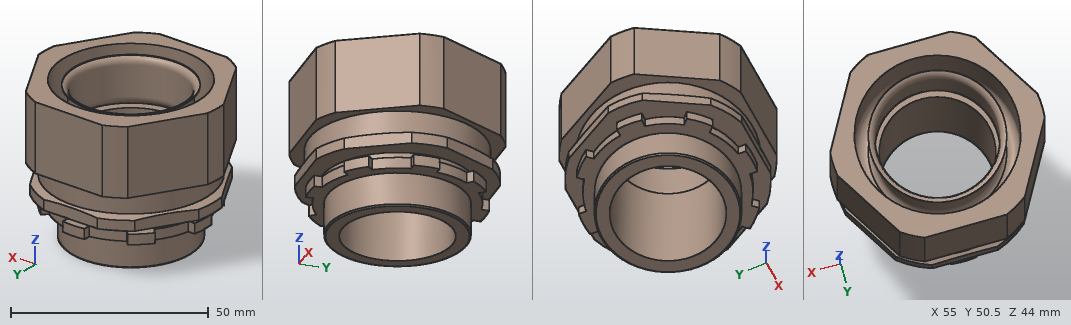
import cadquery as cq
import math

total_height = 44.0
nut_bottom = 23.95
flange_top = 17.65
flange_bottom = 14.0
lock_ring_top = 12.0
lock_ring_bottom = 9.0
shelf_height = 29.0

nut_corner_radius = 27.5
nut_across_flats = 50.5
collar_radius = 23.55
flange_corner_radius = 26.0
flange_across_flats = 49.05
flange_bevel_drop = 0.65
neck_radius = 20.05
thread_radius = 18.6
thread_chamfer = 0.4

lock_ring_radius = 21.5
tab_tip_radius = 23.55
tab_width = 6.9
tab_count = 8

passage_radius = 14.75
mouth_radius = 21.0

ferrule_bore_radius = 15.8
ferrule_thickness = 0.2
fold_center_height = 31.5
flare_start = 40.65
lip_height = 42.6
lip_radius = 17.5
sleeve_radius = ferrule_bore_radius + ferrule_thickness
fold_center_radius = (sleeve_radius + mouth_radius) / 2
groove_radius = (mouth_radius - sleeve_radius) / 2
fold_radius = groove_radius + ferrule_thickness


def cylinder(radius, bottom, top):
    return cq.Workplane("XY").workplane(offset=bottom).circle(radius).extrude(top - bottom)


def rounded_hexagon(across_flats, corner_radius, bottom, top):
    """Hexagonal prism with corners on X, trimmed by a coaxial cylinder."""
    corner_diameter = across_flats / math.cos(math.pi / 6)
    prism = cq.Workplane("XY").workplane(offset=bottom).polygon(6, corner_diameter).extrude(top - bottom)
    return prism.intersect(cylinder(corner_radius, bottom, top))


def make_flange():
    """Hexagonal flange whose upper corners are cut by a shallow cone."""
    hexagon = rounded_hexagon(flange_across_flats, flange_corner_radius, flange_bottom, flange_top)
    bevelled_disc = (
        cq.Workplane("XZ")
        .moveTo(0, flange_bottom)
        .lineTo(flange_corner_radius, flange_bottom)
        .lineTo(flange_corner_radius, flange_top - flange_bevel_drop)
        .lineTo(collar_radius, flange_top)
        .lineTo(0, flange_top)
        .close()
        .revolve(360, (0, 0, 0), (0, 1, 0))
    )
    return hexagon.intersect(bevelled_disc)


def make_lock_ring():
    """Ring with evenly spaced tabs around its rim."""
    thickness = lock_ring_top - lock_ring_bottom
    bars = cq.Workplane("XY")
    for index in range(tab_count // 2):
        bar = (
            cq.Workplane("XY")
            .workplane(offset=lock_ring_bottom)
            .rect(2 * tab_tip_radius, tab_width)
            .extrude(thickness)
            .rotate((0, 0, 0), (0, 0, 1), index * 360 / tab_count)
        )
        bars = bars.add(bar)
    tabs = bars.combine().intersect(cylinder(tab_tip_radius, lock_ring_bottom, lock_ring_top))
    return tabs.union(cylinder(lock_ring_radius, lock_ring_bottom, lock_ring_top))


def flare_middle(inset):
    """Middle of the flare arc that is tangent to the sleeve; inset is the depth into the sheet."""
    width = lip_radius - ferrule_bore_radius - inset
    height = lip_height - flare_start - inset
    radius = (width**2 + height**2) / (2 * width)
    half_angle = math.atan2(width, height)
    middle_radius = ferrule_bore_radius + inset + radius * (1 - math.cos(half_angle))
    return middle_radius, flare_start + radius * math.sin(half_angle)


def make_ferrule():
    """Revolved sheet: flared lip, straight sleeve and a U fold rising to the mouth wall."""
    outer_radius = fold_center_radius + fold_radius
    return (
        cq.Workplane("XZ")
        .moveTo(lip_radius, lip_height)
        .lineTo(lip_radius, lip_height - ferrule_thickness)
        .threePointArc(flare_middle(ferrule_thickness), (sleeve_radius, flare_start))
        .lineTo(sleeve_radius, fold_center_height)
        .threePointArc(
            (fold_center_radius, fold_center_height - groove_radius),
            (mouth_radius, fold_center_height),
        )
        .lineTo(outer_radius, fold_center_height)
        .threePointArc(
            (fold_center_radius, fold_center_height - fold_radius),
            (ferrule_bore_radius, fold_center_height),
        )
        .lineTo(ferrule_bore_radius, flare_start)
        .threePointArc(flare_middle(0), (lip_radius, lip_height))
        .close()
        .revolve(360, (0, 0, 0), (0, 1, 0))
    )


body = cylinder(thread_radius, 0, flange_bottom).faces("<Z").chamfer(thread_chamfer)
body = body.union(cylinder(neck_radius, lock_ring_top, flange_bottom))
body = body.union(make_lock_ring())
body = body.union(make_flange())
body = body.union(cylinder(collar_radius, flange_bottom, nut_bottom))
body = body.union(rounded_hexagon(nut_across_flats, nut_corner_radius, nut_bottom, total_height))

body = body.cut(cylinder(passage_radius, 0, total_height))
body = body.cut(cylinder(mouth_radius, fold_center_height, total_height))
body = body.cut(cylinder(fold_center_radius, shelf_height, fold_center_height))
fold_seat_radius = groove_radius + ferrule_thickness / 2
fold_seat = cq.Workplane("XY").add(
    cq.Solid.makeTorus(fold_center_radius, fold_seat_radius, cq.Vector(0, 0, fold_center_height))
)
body = body.cut(fold_seat.intersect(cylinder(mouth_radius, shelf_height - fold_radius, total_height)))

result = body.union(make_ferrule())